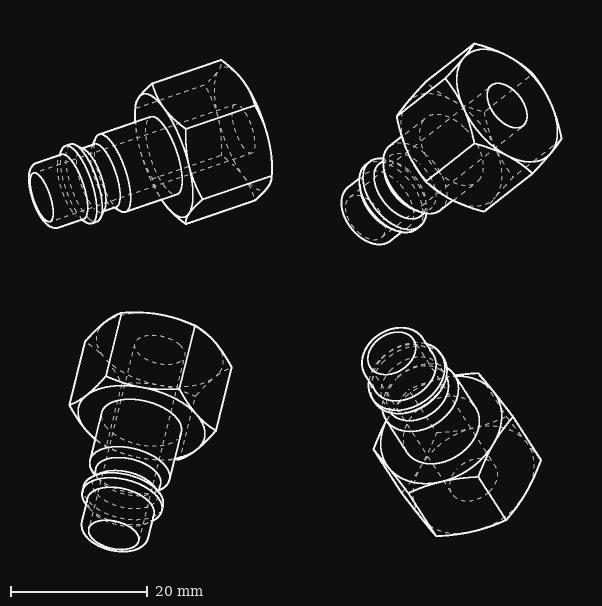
import cadquery as cq
import math

total_length = 33.0
hex_across_flats = 19.0
hex_start = 20.0
hex_chamfer_angle = math.radians(30)
body_radius = 6.0
nose_radius = 5.0
groove_radius = 4.9
bore_radius = 3.75
tip_fillet = 1.0

nose_end = 5.0
collar_start = 6.0
collar_end = 6.9
groove_start = 8.1
groove_end = 10.4
body_start = 11.55

hex_across_corners = hex_across_flats / math.cos(math.radians(30))
flat_radius = hex_across_flats / 2
corner_radius = hex_across_corners / 2
chamfer_length = (corner_radius - flat_radius) * math.tan(hex_chamfer_angle)


def revolve_about_y(profile):
    """Revolve a closed (radius, Y) profile around the Y axis."""
    return profile.close().revolve(360, (0, 0, 0), (0, 1, 0))


def make_hex():
    """Hexagon with corners on X, trimmed by a 30 degree cone at both ends."""
    prism = (
        cq.Workplane("XZ", origin=(0, total_length, 0))
        .polygon(6, hex_across_corners)
        .extrude(total_length - hex_start)
    )
    envelope = revolve_about_y(
        cq.Workplane("XY").polyline([
            (0, hex_start),
            (flat_radius, hex_start),
            (corner_radius, hex_start + chamfer_length),
            (corner_radius, total_length - chamfer_length),
            (flat_radius, total_length),
            (0, total_length),
        ])
    )
    return prism.intersect(envelope)


def make_plug():
    """Stepped plug with rounded tip, locking collar and groove."""
    arc_offset = tip_fillet * math.sqrt(0.5)
    fillet_center_radius = nose_radius - tip_fillet
    return revolve_about_y(
        cq.Workplane("XY")
        .moveTo(0, 0)
        .lineTo(fillet_center_radius, 0)
        .threePointArc(
            (fillet_center_radius + arc_offset, tip_fillet - arc_offset),
            (nose_radius, tip_fillet),
        )
        .lineTo(nose_radius, nose_end)
        .lineTo(body_radius, collar_start)
        .lineTo(body_radius, collar_end)
        .lineTo(groove_radius, groove_start)
        .lineTo(groove_radius, groove_end)
        .lineTo(body_radius, body_start)
        .lineTo(body_radius, total_length)
        .lineTo(0, total_length)
    )


bore = (
    cq.Workplane("XZ", origin=(0, total_length, 0))
    .circle(bore_radius)
    .extrude(total_length)
)

result = make_hex().union(make_plug()).cut(bore)